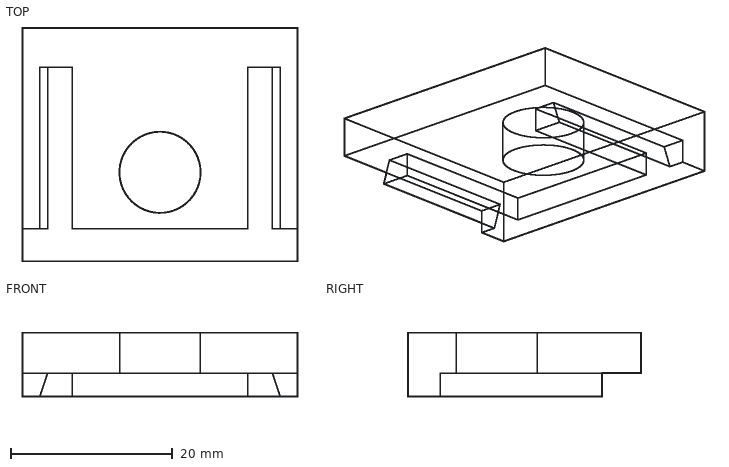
import cadquery as cq
import math

width = 34.01
depth = 28.83
height = 7.9
plate_thickness = 5.0

lip_depth = 4.0

hole_diameter = 10.0
hole_from_front = 11.0

rail_length = 20.0
rail_inset = 2.15
rail_base_width = lip_depth
rail_lean = 18.5

front = -depth / 2
plate_bottom = height - plate_thickness


def make_plate():
    """Flat plate carrying the full-width lip along its front edge."""
    plate = cq.Workplane("XY").box(width, depth, plate_thickness, centered=(True, True, False))
    plate = plate.translate((0, 0, plate_bottom))
    lip = cq.Workplane("XY").box(width, lip_depth, height, centered=(True, False, False))
    return plate.union(lip.translate((0, front, 0)))


def make_rail(side):
    """Rail whose outer face leans inward towards the plate; side is -1 or 1."""
    outer_bottom = width / 2 - rail_inset
    outer_top = outer_bottom - plate_bottom * math.tan(math.radians(rail_lean))
    inner = outer_bottom - rail_base_width
    profile = [
        (side * inner, 0),
        (side * outer_bottom, 0),
        (side * outer_top, plate_bottom),
        (side * inner, plate_bottom),
    ]
    section = cq.Workplane("XZ", origin=(0, front + lip_depth, 0)).polyline(profile).close()
    return section.extrude(-rail_length)


def make_hole():
    """Cutter for the round hole through the plate."""
    hole_y = front + hole_from_front
    return cq.Workplane("XY").center(0, hole_y).circle(hole_diameter / 2).extrude(height)


result = make_plate()
for side in (-1, 1):
    result = result.union(make_rail(side))
result = result.cut(make_hole())